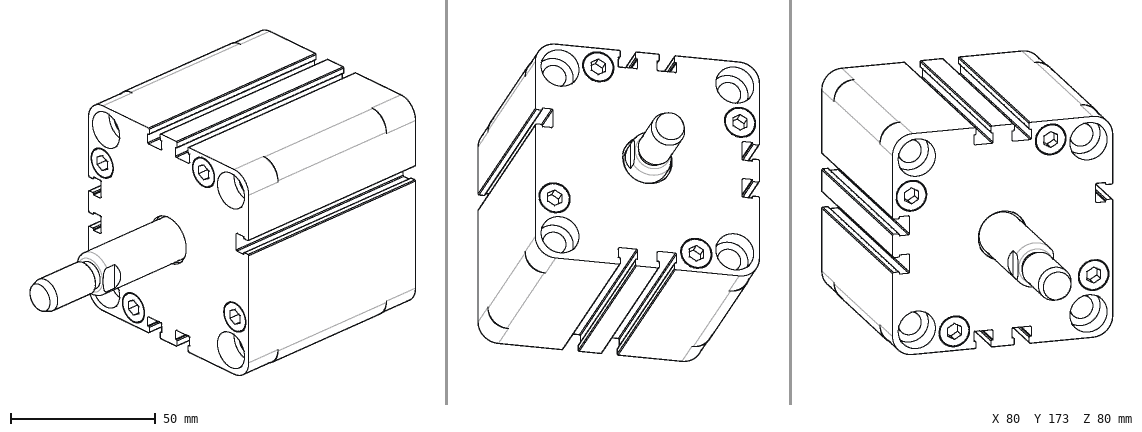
import cadquery as cq
import math

BODY_WIDTH = 80.0
BODY_LENGTH = 80.0
CAP_LENGTH = 14.0
CAP_CORNER_RADIUS = 7.3
BARREL_CORNER_RADIUS = 6.7

OVERALL_LENGTH = 173.0
STROKE = 30.1
ROD_DIAMETER = 16.0
THREAD_DIAMETER = 12.0
THREAD_TIP_DIAMETER = 10.0
THREAD_TIP_LENGTH = 2.8
THREAD_ROOT_CHAMFER = 0.7
NECK_DIAMETER = 10.0
NECK_LENGTH = 2.5
THREAD_END_LENGTH = 24.0
SHOULDER_FILLET = 1.7
FLAT_WIDTH = 13.0
FLAT_LENGTH = 5.5

ROD_BORE_DIAMETER = 17.6
ROD_BORE_DEPTH = 1.7

MOUNT_OFFSET = 31.1
MOUNT_HOLE_DIAMETER = 8.3
MOUNT_BORE_DIAMETER = 13.5
MOUNT_BORE_DEPTH = 8.0

SCREW_OFFSET_LONG = 33.0
SCREW_OFFSET_SHORT = 17.5
SCREW_BORE_DIAMETER = 11.0
SCREW_HEAD_DIAMETER = 10.5
SCREW_GROOVE_DEPTH = 0.9
HEX_ACROSS_FLATS = 5.0
HEX_DEPTH = 4.3

SLOT_MOUTH_WIDTH = 5.4
SLOT_INNER_WIDTH = 7.0
SLOT_LIP = 2.6
SLOT_DEPTH = 6.2
SLOT_EDGE_BREAK = 0.3
PAIR_SLOT_OFFSET = 7.0
SINGLE_SLOT_OFFSET = 12.1

HALF_WIDTH = BODY_WIDTH / 2
HALF_LENGTH = BODY_LENGTH / 2
ROD_SHORT_REACH = (OVERALL_LENGTH - BODY_LENGTH - STROKE) / 2
ROD_FRONT_Y = -HALF_LENGTH - ROD_SHORT_REACH - STROKE
ROD_BACK_Y = HALF_LENGTH + ROD_SHORT_REACH


def section(y):
    """Sketch plane across the Y axis, with local X, Y along part X, Z and normal along -Y."""
    return cq.Workplane("XZ", origin=(0, y, 0))


def rounded_block(y_start, length, corner_radius):
    block = section(y_start + length).rect(BODY_WIDTH, BODY_WIDTH).extrude(length)
    return block.edges("|Y").fillet(corner_radius)


def make_body():
    barrel_length = BODY_LENGTH - 2 * CAP_LENGTH
    front_cap = rounded_block(-HALF_LENGTH, CAP_LENGTH, CAP_CORNER_RADIUS)
    barrel_start = -HALF_LENGTH + CAP_LENGTH
    barrel = rounded_block(barrel_start, barrel_length, BARREL_CORNER_RADIUS)
    back_cap = rounded_block(HALF_LENGTH - CAP_LENGTH, CAP_LENGTH, CAP_CORNER_RADIUS)
    return front_cap.union(barrel).union(back_cap)


def slot_cutter(offset, turn):
    """Slot in the top face, shifted along X by offset, then turned about Y."""
    mouth = SLOT_MOUTH_WIDTH / 2
    inner = SLOT_INNER_WIDTH / 2
    flare = mouth + SLOT_EDGE_BREAK
    right_side = [
        (inner - SLOT_EDGE_BREAK, -SLOT_DEPTH),
        (inner, -SLOT_DEPTH + SLOT_EDGE_BREAK),
        (inner, -SLOT_LIP),
        (mouth + SLOT_EDGE_BREAK, -SLOT_LIP),
        (mouth, -SLOT_LIP + SLOT_EDGE_BREAK),
        (mouth, -SLOT_EDGE_BREAK),
        (flare, 0),
    ]
    left_side = [(-x, z) for x, z in reversed(right_side)]
    slot = (
        section(HALF_LENGTH)
        .center(offset, HALF_WIDTH)
        .polyline(right_side + left_side)
        .close()
        .extrude(BODY_LENGTH)
    )
    return slot.rotate((0, 0, 0), (0, 1, 0), turn)


def cut_slots(body):
    top, right, bottom, left = 0, 90, 180, 270
    for turn in (top, bottom, left):
        for offset in (-PAIR_SLOT_OFFSET, PAIR_SLOT_OFFSET):
            body = body.cut(slot_cutter(offset, turn))
    return body.cut(slot_cutter(-SINGLE_SLOT_OFFSET, right))


def cut_mounting_holes(body):
    spacing = 2 * MOUNT_OFFSET

    def holes(y, diameter, length):
        return section(y).rarray(spacing, spacing, 2, 2).circle(diameter / 2).extrude(length)

    body = body.cut(holes(HALF_LENGTH, MOUNT_HOLE_DIAMETER, BODY_LENGTH))
    body = body.cut(holes(-HALF_LENGTH + MOUNT_BORE_DEPTH, MOUNT_BORE_DIAMETER, MOUNT_BORE_DEPTH))
    return body.cut(holes(HALF_LENGTH, MOUNT_BORE_DIAMETER, MOUNT_BORE_DEPTH))


def cut_cap_screws(body):
    """Ring groove around each screw head and a hexagon socket in it, on both caps."""
    centers = [
        (SCREW_OFFSET_SHORT, SCREW_OFFSET_LONG),
        (SCREW_OFFSET_LONG, -SCREW_OFFSET_SHORT),
        (-SCREW_OFFSET_SHORT, -SCREW_OFFSET_LONG),
        (-SCREW_OFFSET_LONG, SCREW_OFFSET_SHORT),
    ]
    hex_radius = HEX_ACROSS_FLATS / math.sqrt(3)
    corner_angles = [math.radians(30 + 60 * i) for i in range(6)]
    hexagon = [(hex_radius * math.cos(a), hex_radius * math.sin(a)) for a in corner_angles]
    for x, z in centers:
        groove = (
            section(-HALF_LENGTH + SCREW_GROOVE_DEPTH)
            .center(x, z)
            .circle(SCREW_BORE_DIAMETER / 2)
            .circle(SCREW_HEAD_DIAMETER / 2)
            .extrude(SCREW_GROOVE_DEPTH)
        )
        socket = (
            section(-HALF_LENGTH + HEX_DEPTH)
            .center(x, z)
            .polyline(hexagon)
            .close()
            .extrude(HEX_DEPTH)
        )
        cutter = groove.union(socket)
        body = body.cut(cutter).cut(cutter.mirror("XZ"))
    return body


def cut_rod_bores(body):
    bore = (
        section(-HALF_LENGTH + ROD_BORE_DEPTH)
        .circle(ROD_BORE_DIAMETER / 2)
        .extrude(ROD_BORE_DEPTH)
    )
    return body.cut(bore).cut(bore.mirror("XZ"))


def make_rod_half(reach):
    """Rod from the body middle (Y = 0) to a threaded tip at Y = reach, with wrench flats."""
    shoulder_y = reach - THREAD_END_LENGTH
    thread_y = shoulder_y + NECK_LENGTH
    rod_radius = ROD_DIAMETER / 2
    neck_radius = NECK_DIAMETER / 2
    thread_radius = THREAD_DIAMETER / 2
    rod = (
        cq.Workplane("XY")
        .moveTo(0, 0)
        .lineTo(rod_radius, 0)
        .lineTo(rod_radius, shoulder_y - SHOULDER_FILLET)
        .radiusArc((rod_radius - SHOULDER_FILLET, shoulder_y), -SHOULDER_FILLET)
        .lineTo(neck_radius, shoulder_y)
        .lineTo(neck_radius, thread_y)
        .lineTo(thread_radius, thread_y + THREAD_ROOT_CHAMFER)
        .lineTo(thread_radius, reach - THREAD_TIP_LENGTH)
        .lineTo(THREAD_TIP_DIAMETER / 2, reach)
        .lineTo(0, reach)
        .close()
        .revolve(360, (0, 0, 0), (0, 1, 0))
    )
    flat_x = FLAT_WIDTH / 2
    run_out = rod_radius - flat_x
    flat_start = shoulder_y - FLAT_LENGTH
    flat = (
        cq.Workplane("XY")
        .moveTo(flat_x, shoulder_y)
        .lineTo(flat_x, flat_start)
        .lineTo(rod_radius, flat_start - run_out)
        .lineTo(rod_radius, shoulder_y)
        .close()
        .extrude(rod_radius, both=True)
    )
    return rod.cut(flat).cut(flat.mirror("YZ"))


body = cut_slots(make_body())
body = cut_mounting_holes(body)
body = cut_cap_screws(body)
body = cut_rod_bores(body)

front_rod = make_rod_half(-ROD_FRONT_Y).mirror("XZ")
back_rod = make_rod_half(ROD_BACK_Y)

result = body.union(front_rod).union(back_rod)